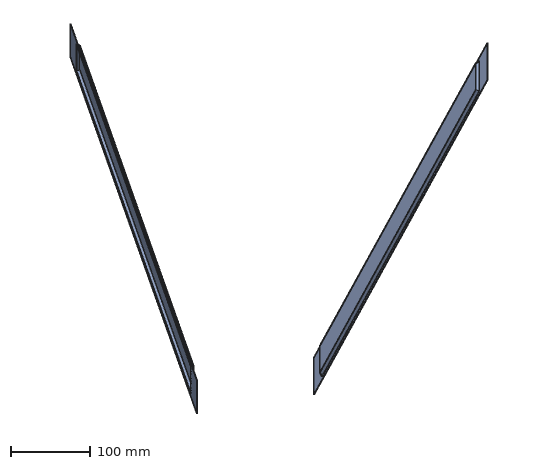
import cadquery as cq

LENGTH = 610.0
HEIGHT = 65.0
DEPTH = 5.0
SHEET = 1.0

MOUTH_LENGTH = 552.5
MOUTH_HEIGHT = 52.5
END_SLOPE = 2.5
SIDE_SLOPE = 3.0

PAN_DEPTH = DEPTH - SHEET


def tapered_block(start_y, mouth_length, mouth_height):
    """Four-sided frustum, one pan depth long, narrowing towards +Y."""
    back_length = mouth_length - 2 * END_SLOPE
    back_height = mouth_height - 2 * SIDE_SLOPE
    return (
        cq.Workplane("XZ", origin=(0, start_y, 0))
        .rect(mouth_length, mouth_height)
        .workplane(offset=-PAN_DEPTH)
        .rect(back_length, back_height)
        .loft(ruled=True)
    )


flange = cq.Workplane("XY").box(LENGTH, SHEET, HEIGHT).translate((0, SHEET / 2, 0))

pan_outside = tapered_block(SHEET, MOUTH_LENGTH + SHEET, MOUTH_HEIGHT + SHEET)
pan_inside = tapered_block(0, MOUTH_LENGTH, MOUTH_HEIGHT)

result = flange.union(pan_outside).cut(pan_inside)